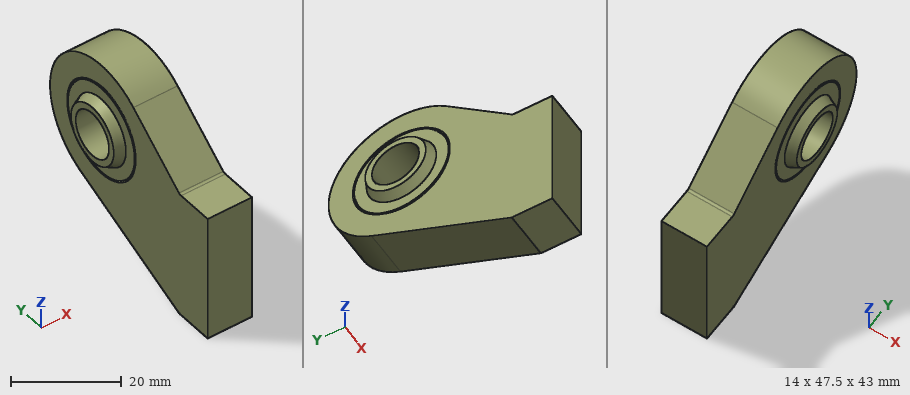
import cadquery as cq
import math

housing_width = 9.95
eye_radius = 15.5
foot_end_y = -32.0
foot_bottom_z = -27.5
foot_height = 28.6
foot_length = 8.6
upper_foot_length = 8.4
corner_fillet = 1.0

race_diameter = 20.0
groove_width = 0.35
groove_depth = 0.35
ball_width = 14.0
ball_end_diameter = 12.85
ball_face_diameter = 14.8
bore_diameter = 10.0

foot_top_z = foot_bottom_z + foot_height
upper_corner = (foot_end_y + upper_foot_length, foot_top_z)
lower_corner = (foot_end_y + foot_length, foot_bottom_z)
half_housing = housing_width / 2
half_ball = ball_width / 2


def tangent_point(corner, side):
    """Point where a line from the corner touches the eye; side is +1 or -1."""
    distance = math.hypot(*corner)
    angle = math.atan2(corner[1], corner[0]) + side * math.acos(eye_radius / distance)
    return (eye_radius * math.cos(angle), eye_radius * math.sin(angle))


def make_housing():
    housing = (
        cq.Workplane("YZ")
        .moveTo(foot_end_y, foot_bottom_z)
        .lineTo(foot_end_y, foot_top_z)
        .lineTo(*upper_corner)
        .lineTo(*tangent_point(upper_corner, -1))
        .threePointArc((eye_radius, 0), tangent_point(lower_corner, 1))
        .lineTo(*lower_corner)
        .close()
        .extrude(half_housing, both=True)
    )
    corner_edge = cq.selectors.NearestToPointSelector((0, *upper_corner))
    return housing.edges(corner_edge).fillet(corner_fillet)


def revolve_about_eye(points):
    """Revolve an (axial, radial) outline about the eye axis."""
    return cq.Workplane("XY").polyline(points).close().revolve(360, (0, 0), (1, 0))


def make_ball():
    end_radius = ball_end_diameter / 2
    face_radius = ball_face_diameter / 2
    return revolve_about_eye([
        (-half_ball, 0),
        (-half_ball, end_radius),
        (-half_housing, face_radius),
        (half_housing, face_radius),
        (half_ball, end_radius),
        (half_ball, 0),
    ])


def make_race_groove(side):
    """Groove around the race, chamfered on the housing side."""
    race_radius = race_diameter / 2
    face = side * half_housing
    return revolve_about_eye([
        (face, race_radius),
        (face, race_radius + groove_width),
        (face - side * groove_depth, race_radius),
    ])


result = make_housing().union(make_ball())
for side in (-1, 1):
    result = result.cut(make_race_groove(side))

bore = cq.Workplane("YZ").circle(bore_diameter / 2).extrude(half_ball, both=True)
result = result.cut(bore)